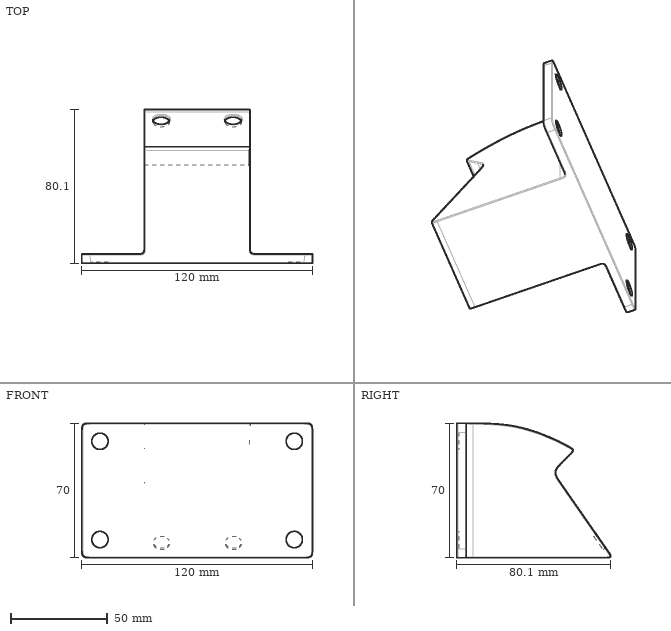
import cadquery as cq
import math

height = 70.05

plate_width = 120.0
plate_thickness = 5.0

block_width = 55.0
toe_reach = 81.07
toe_angle = 55.2
lip_reach = 61.3
lip_z = 56.0
lip_angle = 45.0

crown_end_angle = 31.0
crown_flat_pole = 26.0
crown_fall_pole = 32.0
crown_end_pull = 10.0

plate_corner_blend = 4.8
root_blend = 3.3
toe_blend = 4.0
lip_blend = 2.8
notch_blend = 6.5
blend_fullness = 0.85

edge_radius = 0.5

recess_diameter = 8.5
plate_recess_inset = 9.5
plate_recess_depth = 1.0
slope_recess_height = 8.8
slope_recess_depth = 1.7
slope_recess_spacing = 37.4
slope_rim_radius = 0.5


def polar(length, degrees):
    angle = math.radians(degrees)
    return cq.Vector(length * math.cos(angle), length * math.sin(angle))


def towards(start, end, fraction):
    return start + (end - start) * fraction


def blend(corner, before, after, run):
    """Curvature-continuous corner blend, as the six poles of a Bezier curve."""
    start = corner + (before - corner).normalized() * run
    end = corner + (after - corner).normalized() * run
    half = blend_fullness / 2
    return [
        start,
        towards(start, corner, half),
        towards(start, corner, blend_fullness),
        towards(end, corner, blend_fullness),
        towards(end, corner, half),
        end,
    ]


def line_and_curve(sketch, poles):
    """Extend a sketch by a line to the first pole and a Bezier curve along the poles."""
    points = [(pole.x, pole.y) for pole in poles]
    return sketch.lineTo(*points[0]).bezier(points)


def outline(plane, corners):
    """Closed sketch through (point, blend run) corners; a run of 0 keeps the corner sharp."""
    points = [cq.Vector(*point) for point, _ in corners]
    sketch = cq.Workplane(plane).moveTo(*corners[0][0])
    for i in range(1, len(points)):
        run = corners[i][1]
        if run == 0:
            sketch = sketch.lineTo(points[i].x, points[i].y)
            continue
        poles = blend(points[i], points[i - 1], points[(i + 1) % len(points)], run)
        sketch = line_and_curve(sketch, poles)
    return sketch.close()


def front_shape():
    """Rectangle with blended corners, run along the whole depth."""
    half = plate_width / 2
    corners = [
        ((0, 0), 0),
        ((half, 0), plate_corner_blend),
        ((half, height), plate_corner_blend),
        ((-half, height), plate_corner_blend),
        ((-half, 0), plate_corner_blend),
    ]
    return outline("XZ", corners).extrude(-toe_reach)


def plan_shape():
    """T of plate and block seen from above, run over the whole height."""
    plate_half = plate_width / 2
    block_half = block_width / 2
    corners = [
        ((-plate_half, 0), 0),
        ((plate_half, 0), 0),
        ((plate_half, plate_thickness), 0),
        ((block_half, plate_thickness), root_blend),
        ((block_half, toe_reach), 0),
        ((-block_half, toe_reach), 0),
        ((-block_half, plate_thickness), root_blend),
        ((-plate_half, plate_thickness), 0),
    ]
    return outline("XY", corners).extrude(height)


def side_shape():
    """Side profile with toe, notch, lip and crown, run over the whole width."""
    toe = cq.Vector(toe_reach, 0)
    lip = cq.Vector(lip_reach, lip_z)
    toe_slope = math.tan(math.radians(toe_angle))
    lip_slope = math.tan(math.radians(lip_angle))
    notch_y = (toe_slope * toe_reach + lip_slope * lip_reach - lip_z) / (toe_slope + lip_slope)
    notch = cq.Vector(notch_y, toe_slope * (toe_reach - notch_y))
    crown_back = polar(1, 180 - crown_end_angle)
    crown_end = lip + crown_back * lip_blend
    crown_poles = [
        crown_end,
        crown_end + crown_back * crown_end_pull,
        cq.Vector(crown_fall_pole, height),
        cq.Vector(crown_flat_pole, height),
        cq.Vector(0, height),
    ]

    sketch = cq.Workplane("YZ", origin=(-plate_width / 2, 0, 0)).moveTo(0, 0)
    curves = [
        blend(toe, cq.Vector(0, 0), notch, toe_blend),
        blend(notch, toe, lip, notch_blend),
        blend(lip, notch, crown_end, lip_blend),
    ]
    for poles in curves:
        sketch = line_and_curve(sketch, poles)
    sketch = sketch.bezier([(p.x, p.y) for p in crown_poles])
    return sketch.close().extrude(plate_width)


def round_edges(body):
    body = body.faces("<Y").edges().fillet(edge_radius)
    for side in (-1, 1):
        on_outline = cq.selectors.NearestToPointSelector((side * block_width / 2, toe_reach / 2, 0))
        body = body.edges(on_outline).fillet(edge_radius)
    return body


def plate_recesses():
    spacing_x = plate_width - 2 * plate_recess_inset
    spacing_z = height - 2 * plate_recess_inset
    return (
        cq.Workplane("XZ")
        .center(0, height / 2)
        .rect(spacing_x, spacing_z, forConstruction=True)
        .vertices()
        .circle(recess_diameter / 2)
        .extrude(-plate_recess_depth)
    )


def cut_slope_recesses(body):
    angle = math.radians(toe_angle)
    center_y = toe_reach - slope_recess_height / math.tan(angle)
    slope = cq.Plane(
        origin=(0, center_y, slope_recess_height),
        xDir=(1, 0, 0),
        normal=(0, math.sin(angle), math.cos(angle)),
    )
    half = slope_recess_spacing / 2
    recesses = (
        cq.Workplane(slope)
        .pushPoints([(-half, 0), (half, 0)])
        .circle(recess_diameter / 2)
        .extrude(-slope_recess_depth)
    )
    body = body.cut(recesses)
    for x in (-half, half):
        rim_center = slope.toWorldCoords((x, 0, 0)).toTuple()
        body = body.edges(cq.selectors.NearestToPointSelector(rim_center)).fillet(slope_rim_radius)
    return body


result = plan_shape().intersect(side_shape()).intersect(front_shape())
result = round_edges(result)
result = result.cut(plate_recesses())
result = cut_slope_recesses(result)